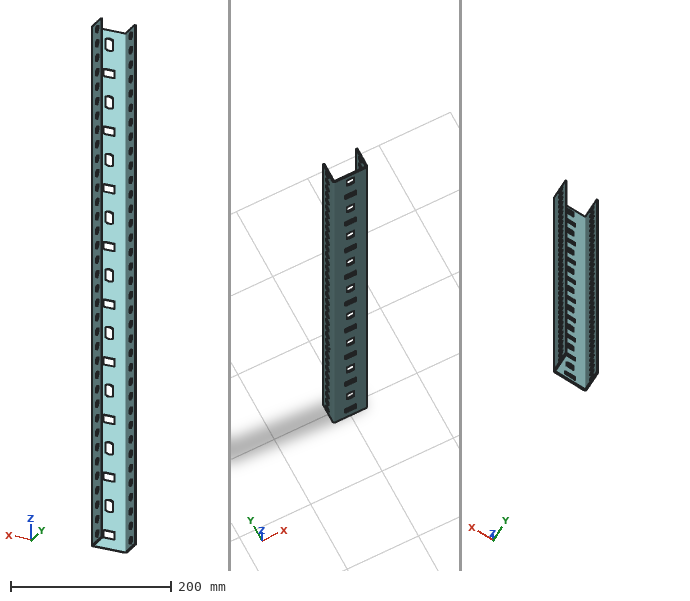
import cadquery as cq
import math

length = 720.0
width = 48.0
depth = 29.0
thickness = 2.0
inner_bend_radius = 1.0
outer_bend_radius = inner_bend_radius + thickness

slot_count = 18
slot_pitch = length / slot_count
slot_half_width = 5.25
slot_width = 2 * slot_half_width

cross_slot_length = 15.0
cross_corner_radius = 1.0

upright_side_half_length = 6.7
upright_end_radius = math.hypot(slot_half_width, upright_side_half_length)

hole_count = 36
hole_pitch = length / hole_count
hole_diameter = 9.0
hole_edge_distance = 11.5

hole_y = depth - hole_edge_distance


def row_heights(count, pitch):
    """Heights of a row of features centred on the length of the channel."""
    return [(index + 0.5) * pitch for index in range(count)]


def make_channel():
    """Bent sheet: a web and two flanges with rounded outer and inner bends."""
    outside = (
        cq.Workplane("XY")
        .box(width, depth, length, centered=(True, False, False))
        .edges("|Z and <Y")
        .fillet(outer_bend_radius)
    )
    inside = (
        cq.Workplane("XY")
        .box(width - 2 * thickness, depth, length, centered=(True, False, False))
        .edges("|Z and <Y")
        .fillet(inner_bend_radius)
        .translate((0, thickness, 0))
    )
    return outside.cut(inside)


def make_cross_slots(heights):
    """Crosswise rectangular cutters through the web."""
    return (
        cq.Workplane("XZ")
        .pushPoints([(0, height) for height in heights])
        .rect(cross_slot_length, slot_width)
        .extrude(thickness, both=True)
        .edges("|Y")
        .fillet(cross_corner_radius)
    )


def make_upright_slots(heights):
    """Upright cutters through the web: discs trimmed to the slot width."""
    discs = (
        cq.Workplane("XZ")
        .pushPoints([(0, height) for height in heights])
        .circle(upright_end_radius)
        .extrude(thickness, both=True)
    )
    trimming_strip = cq.Workplane("XY").box(slot_width, depth, length, centered=(True, True, False))
    return discs.intersect(trimming_strip)


def make_flange_holes():
    """Round cutters running through both flanges."""
    return (
        cq.Workplane("YZ")
        .pushPoints([(hole_y, height) for height in row_heights(hole_count, hole_pitch)])
        .circle(hole_diameter / 2)
        .extrude(width, both=True)
    )


slot_heights = row_heights(slot_count, slot_pitch)
cross_slots = make_cross_slots(slot_heights[0::2])
upright_slots = make_upright_slots(slot_heights[1::2])

result = make_channel().cut(cross_slots).cut(upright_slots).cut(make_flange_holes())